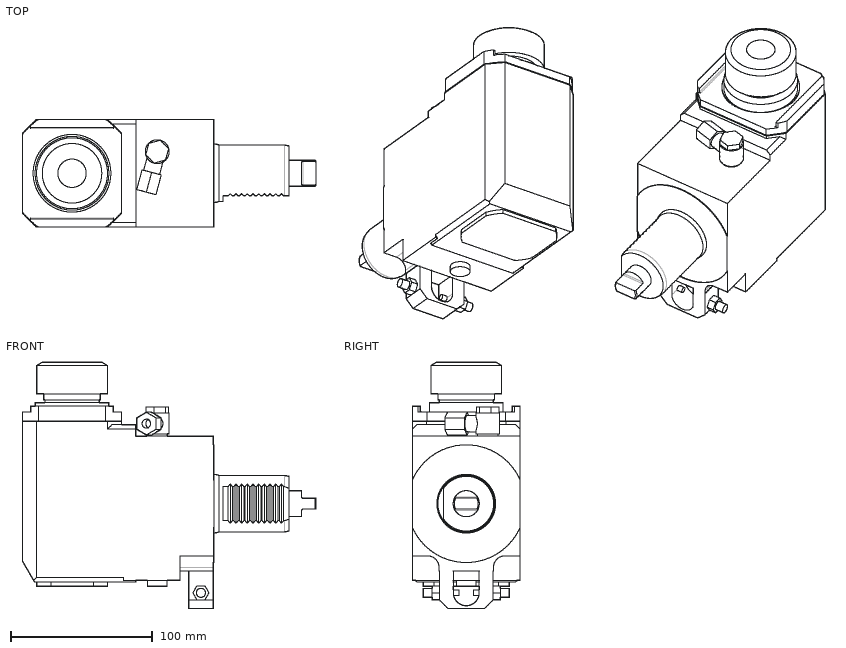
import cadquery as cq
import math


overall_height = 173.66
hexagon_sides = 6

body_width = 76.0
half_width = body_width / 2
spindle_x = -100.0
head_length = 70.0
head_left = spindle_x - head_length / 2
head_right = spindle_x + head_length / 2
head_top = 58.0
head_bottom = -55.2
corner_chamfer = 10.0
slope_start_z = -40.4
slope_angle = 60.0
slope_run = (slope_start_z - head_bottom) / math.tan(math.radians(slope_angle))
edge_chamfer = 3.2
ledge_right = -55.0
ledge_top = 55.7
block_left = -63.8
block_top = 47.5
block_bottom = -54.1
flange_thickness = 0.5
block_right = -flange_thickness
flange_radius = 41.5

seam_height = 0.4
seam_inset = 0.3
cap_bottom = head_top + seam_height
cap_top = 64.6
cap_corner_radius = 44.7
rail_top = 68.8
rail_inner_y = 32.3
rail_half_length = 29.2
rail_root_radius = 0.8

recess_radius = 27.4
recess_depth = 1.0
collar_radius = 26.0
collar_top = 71.2
groove_radius = 19.2
groove_top = 73.2
neck_radius = 20.0
nut_bottom = 77.3
nut_top = 99.8
nut_radius = 25.0
nut_chamfer_height = 2.5
nut_chamfer_inset = 4.0
nose_bore_radius = 10.0
nose_bore_depth = 30.0

shank_radius = 20.0
shank_end = 53.0
shank_chamfer_length = 3.2
shank_chamfer_inset = 0.7
base_ring_radius = 20.7
base_ring_middle = 1.9
base_ring_middle_radius = 20.5
base_ring_end = 3.4
tooth_flat_y = -16.0
tooth_flat_start = 6.5
tooth_pitch = 4.0
tooth_count = 10
first_groove_x = 11.5
tooth_groove_depth = 1.5
tooth_groove_width = 3.0

tang_radius = 9.2
tang_end = 72.0
tang_tip_chamfer = 0.8
tongue_start = 61.8
tongue_thickness = 7.8
tongue_root_radius = 0.8

notch_left = -23.8
notch_top = -36.8
notch_fillet = 8.0
web_half_width = 19.2
web_bottom = -47.5
yoke_left = -17.8
yoke_half_width = 18.9
yoke_bottom = nut_top - overall_height
yoke_chamfer = 6.0
yoke_slot_radius = 9.0
screw_x = -9.2
screw_z = -62.8
screw_nut_across_flats = 9.8
screw_nut_end_y = 24.1
screw_radius = 3.2
screw_end_y = 30.3
screw_tip_radius = 2.0
screw_tip_y = 5.1

plate_length = 50.0
plate_width = 60.6
plate_radius = 33.8
plate_bottom = -58.2
pin_x = -40.0
pin_radius = 7.0

nozzle_x = -40.0
nozzle_y = 15.2
nozzle_turn = 255.0
nozzle_foot_radius = 7.2
nozzle_foot_top = 49.2
nozzle_post_radius = 8.4
nozzle_post_top = 63.9
nozzle_head_top = 68.2
nozzle_head_across_flats = 14.4
nozzle_arm_z = 56.4
nozzle_arm_radius = 5.8
nozzle_tip_start = 15.1
nozzle_tip_end = 29.5
nozzle_tip_across_flats = 14.0
nozzle_bore_radius = 3.1
nozzle_bore_depth = 10.0


def span_box(x0, x1, y0, y1, z0, z1):
    """Box between two opposite corners."""
    return cq.Workplane("XY").box(x1 - x0, y1 - y0, z1 - z0, centered=False).translate((x0, y0, z0))


def x_cylinder(radius, x0, x1):
    return cq.Workplane("YZ", origin=(x0, 0, 0)).circle(radius).extrude(x1 - x0)


def z_cylinder(x, y, radius, z0, z1):
    return cq.Workplane("XY", origin=(x, y, z0)).circle(radius).extrude(z1 - z0)


def across_corners(across_flats):
    """Corner-to-corner width of a hexagon."""
    return across_flats * 2 / math.sqrt(3)


def centred_slab(x0, x1, width, z0, z1):
    """Box symmetric about the Y = 0 plane."""
    return span_box(x0, x1, -width / 2, width / 2, z0, z1)


def make_head():
    """Chamfered head column with the ledge on its right and the slope at its lower front."""
    column = (
        centred_slab(head_left, head_right, body_width, slope_start_z, head_top)
        .edges("|Z").chamfer(corner_chamfer)
    )
    ledge = (
        centred_slab(head_right - corner_chamfer, ledge_right, body_width, slope_start_z, ledge_top)
        .faces(">Z").edges("|X").chamfer(edge_chamfer)
    )
    base = (
        centred_slab(head_left, ledge_right, body_width, head_bottom, slope_start_z)
        .faces("<X").edges("|Z").chamfer(corner_chamfer)
        .faces("<Z").edges("|X").chamfer(edge_chamfer)
    )
    slope = (
        cq.Workplane("XZ")
        .polyline([
            (head_left, slope_start_z),
            (head_left + slope_run, head_bottom),
            (head_left, head_bottom),
        ])
        .close().extrude(half_width, both=True)
    )
    return column.union(ledge).union(base.cut(slope))


def make_block():
    """Main block, its round mounting flange and the filleted notches beside the web."""
    block = centred_slab(ledge_right, block_right, body_width, block_bottom, block_top)
    foot = centred_slab(block_left, ledge_right, body_width, block_bottom, slope_start_z)
    flange = x_cylinder(flange_radius, block_right, 0).intersect(
        centred_slab(block_right, 0, body_width, -flange_radius, flange_radius)
    )
    below_web = centred_slab(notch_left, 0, body_width, block_bottom, web_bottom)
    notch = (
        span_box(notch_left, block_right, web_half_width, half_width, block_bottom, notch_top)
        .faces(">Z").edges("<Y").fillet(notch_fillet)
    )
    block = block.union(foot).cut(below_web)
    block = block.cut(notch).cut(notch.mirror("XZ"))
    return block.union(flange.cut(below_web))


def make_cap():
    """Cap plate with large-radius corners, a thin seam below and two side rails above."""
    blank = z_cylinder(spindle_x, 0, cap_corner_radius, cap_bottom, rail_top).intersect(
        centred_slab(head_left, head_right, body_width, cap_bottom, rail_top)
    )
    channel = (
        centred_slab(head_left, head_right, 2 * rail_inner_y, cap_top, rail_top)
        .faces("<Z").edges("|X").fillet(rail_root_radius)
    )
    cap = blank.cut(channel)
    cap = cap.cut(centred_slab(head_left, spindle_x - rail_half_length, body_width, cap_top, rail_top))
    cap = cap.cut(centred_slab(spindle_x + rail_half_length, head_right, body_width, cap_top, rail_top))
    seam = (
        centred_slab(
            head_left + seam_inset, head_right - seam_inset,
            body_width - 2 * seam_inset, head_top, cap_bottom,
        )
        .edges("|Z").chamfer(corner_chamfer)
    )
    recess = z_cylinder(spindle_x, 0, recess_radius, cap_top - recess_depth, cap_top)
    return cap.union(seam).cut(recess)


def make_spindle_nose():
    """Turned collar, grooved neck and bored clamping nut."""
    nose = (
        cq.Workplane("XZ")
        .polyline([
            (0, cap_bottom),
            (collar_radius, cap_bottom),
            (collar_radius, collar_top),
            (groove_radius, collar_top),
            (groove_radius, groove_top),
            (neck_radius, groove_top),
            (neck_radius, nut_bottom),
            (nut_radius, nut_bottom),
            (nut_radius, nut_top - nut_chamfer_height),
            (nut_radius - nut_chamfer_inset, nut_top),
            (0, nut_top),
        ])
        .close().revolve(360, (0, 0), (0, 1))
        .translate((spindle_x, 0, 0))
    )
    return nose.cut(z_cylinder(spindle_x, 0, nose_bore_radius, nut_top - nose_bore_depth, nut_top))


def make_shank():
    """Round shank with a rounded base ring and a row of V grooves across its front flat."""
    shank = (
        cq.Workplane("XY")
        .moveTo(block_right, 0)
        .lineTo(block_right, base_ring_radius)
        .lineTo(0, base_ring_radius)
        .threePointArc((base_ring_middle, base_ring_middle_radius), (base_ring_end, shank_radius))
        .lineTo(shank_end - shank_chamfer_length, shank_radius)
        .lineTo(shank_end, shank_radius - shank_chamfer_inset)
        .lineTo(shank_end, 0)
        .close().revolve(360, (0, 0), (1, 0))
    )
    shank = shank.cut(span_box(
        tooth_flat_start, shank_end, -shank_radius, tooth_flat_y, -shank_radius, shank_radius,
    ))
    groove = (
        cq.Workplane("XY")
        .polyline([
            (-tooth_groove_width / 2, tooth_flat_y),
            (tooth_groove_width / 2, tooth_flat_y),
            (0, tooth_flat_y + tooth_groove_depth),
        ])
        .close().extrude(shank_radius, both=True)
    )
    for index in range(tooth_count):
        shank = shank.cut(groove.translate((first_groove_x + index * tooth_pitch, 0, 0)))
    return shank


def make_drive_tongue():
    """Round tang ending in a flat tongue with filleted roots."""
    tang = x_cylinder(tang_radius, shank_end, tang_end).faces(">X").chamfer(tang_tip_chamfer)
    relief = (
        centred_slab(tongue_start, tang_end, 2 * tang_radius, tongue_thickness / 2, tang_radius)
        .faces("<X").edges("<Z").fillet(tongue_root_radius)
    )
    return tang.cut(relief).cut(relief.mirror("XY"))


def make_clamp_screw():
    """Screw on the -Y side of the yoke: inner tip, hexagon nut and outer end."""
    def at(y):
        return cq.Workplane("XZ", origin=(screw_x, -y, screw_z))

    nut = at(yoke_half_width).polygon(hexagon_sides, across_corners(screw_nut_across_flats))
    nut = nut.extrude(screw_nut_end_y - yoke_half_width)
    outer = at(screw_nut_end_y).circle(screw_radius).extrude(screw_end_y - screw_nut_end_y)
    tip = at(screw_tip_y).circle(screw_tip_radius).extrude(yoke_half_width - screw_tip_y)
    return nut.union(outer).union(tip)


def make_yoke():
    """Slotted clamp yoke hanging below the web, with a screw on each side."""
    yoke = (
        centred_slab(yoke_left, block_right, 2 * yoke_half_width, yoke_bottom, web_bottom)
        .faces("<Z").edges("|X").chamfer(yoke_chamfer)
    )
    slot_round = x_cylinder(yoke_slot_radius, yoke_left, block_right).translate((0, 0, screw_z))
    slot = centred_slab(yoke_left, block_right, 2 * yoke_slot_radius, screw_z, web_bottom)
    yoke = yoke.cut(slot_round).cut(slot)
    screw = make_clamp_screw()
    return yoke.union(screw).union(screw.mirror("XZ"))


def make_bottom_plate():
    disc = z_cylinder(spindle_x, 0, plate_radius, plate_bottom, head_bottom)
    limits = centred_slab(
        spindle_x - plate_length / 2, spindle_x + plate_length / 2,
        plate_width, plate_bottom, head_bottom,
    )
    return disc.intersect(limits)


def make_nozzle():
    """Swivel coolant nozzle, modelled along +X at the origin and then turned into place."""
    post = z_cylinder(0, 0, nozzle_foot_radius, block_top, nozzle_foot_top)
    post = post.union(z_cylinder(0, 0, nozzle_post_radius, nozzle_foot_top, nozzle_post_top))
    head = (
        cq.Workplane("XY", origin=(0, 0, nozzle_post_top))
        .polygon(hexagon_sides, across_corners(nozzle_head_across_flats))
        .extrude(nozzle_head_top - nozzle_post_top)
    )
    arm = x_cylinder(nozzle_arm_radius, 0, nozzle_tip_start)
    tip = (
        cq.Workplane("YZ").polygon(hexagon_sides, across_corners(nozzle_tip_across_flats))
        .extrude(nozzle_tip_end - nozzle_tip_start)
        .rotate((0, 0, 0), (1, 0, 0), 90)
        .translate((nozzle_tip_start, 0, 0))
    )
    bore = x_cylinder(nozzle_bore_radius, nozzle_tip_end - nozzle_bore_depth, nozzle_tip_end)
    arm = arm.union(tip).cut(bore).translate((0, 0, nozzle_arm_z))
    nozzle = post.union(head).union(arm)
    return nozzle.rotate((0, 0, 0), (0, 0, 1), nozzle_turn).translate((nozzle_x, nozzle_y, 0))


result = (
    make_head()
    .union(make_block())
    .union(make_cap())
    .union(make_spindle_nose())
    .union(make_shank())
    .union(make_drive_tongue())
    .union(make_yoke())
    .union(make_bottom_plate())
    .union(z_cylinder(pin_x, 0, pin_radius, plate_bottom, block_bottom))
    .union(make_nozzle())
)